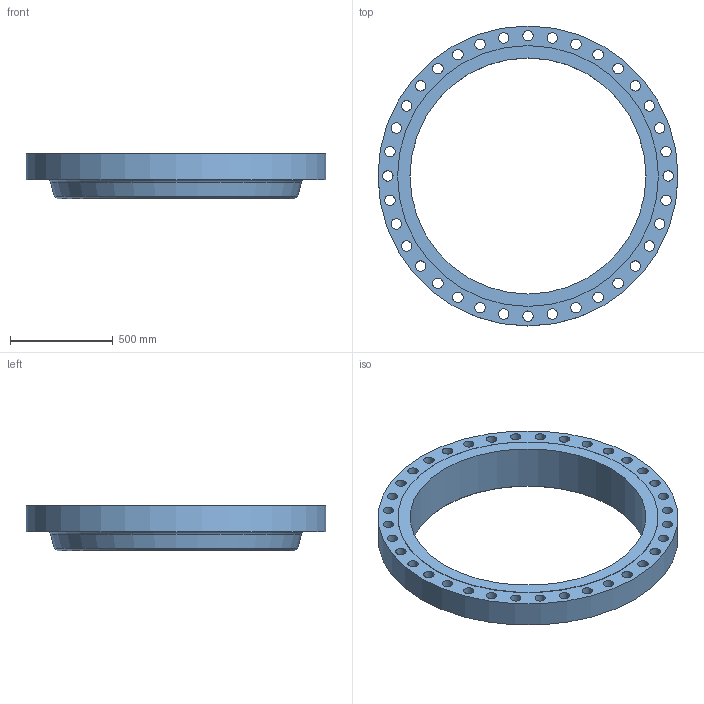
import cadquery as cq
import math

flange_diameter = 1460.5
overall_height = 222.25
bore_diameter = 1149.35

flange_thickness = 128.6
raised_face_diameter = 1270.0
raised_face_height = 2.0

hub_base_diameter = 1229.0
hub_end_diameter = 1184.15
hub_base_fillet = 16.0
weld_bevel_angle = 37.5
weld_land_width = 1.6

bolt_count = 36
bolt_circle_diameter = 1365.25
bolt_hole_diameter = 50.8

flange_bottom = overall_height - flange_thickness
flange_top = overall_height - raised_face_height

bore_radius = bore_diameter / 2
hub_end_radius = hub_end_diameter / 2
hub_base_radius = hub_base_diameter / 2
raised_face_radius = raised_face_diameter / 2
flange_radius = flange_diameter / 2

weld_bevel_width = hub_end_radius - bore_radius - weld_land_width
weld_bevel_height = weld_bevel_width * math.tan(math.radians(weld_bevel_angle))

hub_slope = math.atan2(hub_base_radius - hub_end_radius, flange_bottom - weld_bevel_height)


def ring_profile():
    """Half section of the ring, with the weld bevel and the fillet at the hub base."""
    fillet_run = hub_base_fillet * math.tan((math.pi / 2 - hub_slope) / 2)
    cone_end = (
        hub_base_radius - fillet_run * math.sin(hub_slope),
        flange_bottom - fillet_run * math.cos(hub_slope),
    )
    fillet_end = (hub_base_radius + fillet_run, flange_bottom)
    return (
        cq.Workplane("XZ")
        .moveTo(bore_radius, 0)
        .lineTo(bore_radius + weld_land_width, 0)
        .lineTo(hub_end_radius, weld_bevel_height)
        .lineTo(*cone_end)
        .tangentArcPoint(fillet_end, relative=False)
        .lineTo(flange_radius, flange_bottom)
        .lineTo(flange_radius, flange_top)
        .lineTo(raised_face_radius, flange_top)
        .lineTo(raised_face_radius, overall_height)
        .lineTo(bore_radius, overall_height)
        .close()
    )


def bolt_holes():
    """Cylinders for all through holes, the first one on +X."""
    return (
        cq.Workplane("XY")
        .polarArray(bolt_circle_diameter / 2, 0, 360, bolt_count)
        .circle(bolt_hole_diameter / 2)
        .extrude(overall_height)
    )


ring = ring_profile().revolve(360, (0, 0, 0), (0, 1, 0))
result = ring.cut(bolt_holes())